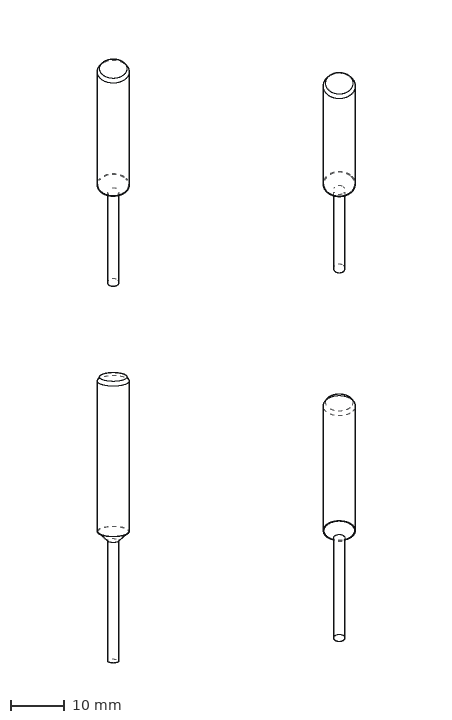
import cadquery as cq
import math

TOTAL_LENGTH = 56.0
SHANK_DIAMETER = 6.0
CUTTER_DIAMETER = 2.1
CUTTER_LENGTH = 23.95
NECK_STEP = 0.15

POINT_ANGLE = 140.0
NECK_HALF_ANGLE = 45.0
CHAMFER_WIDTH = 0.45
CHAMFER_HEIGHT = 0.8

shank_radius = SHANK_DIAMETER / 2
cutter_radius = CUTTER_DIAMETER / 2
point_height = cutter_radius / math.tan(math.radians(POINT_ANGLE / 2))
neck_radius = shank_radius - NECK_STEP
neck_height = (neck_radius - cutter_radius) / math.tan(math.radians(NECK_HALF_ANGLE))
shank_bottom = CUTTER_LENGTH + neck_height


def revolve_about_z(half_profile):
    """Revolve a closed (radius, height) outline about the Z axis."""
    return cq.Workplane("XZ").polyline(half_profile).close().revolve(360, (0, 0), (0, 1))


def make_cutter():
    """Slender cutting rod with a shallow conical point and a neck cone that widens up to the shank."""
    return revolve_about_z([
        (0, 0),
        (cutter_radius, point_height),
        (cutter_radius, CUTTER_LENGTH),
        (neck_radius, shank_bottom),
        (0, shank_bottom),
    ])


def make_shank():
    """Round shank with a chamfer on top; its flat bottom sits on the wide end of the neck."""
    return revolve_about_z([
        (0, shank_bottom),
        (shank_radius, shank_bottom),
        (shank_radius, TOTAL_LENGTH - CHAMFER_HEIGHT),
        (shank_radius - CHAMFER_WIDTH, TOTAL_LENGTH),
        (0, TOTAL_LENGTH),
    ])


cutter = make_cutter()
shank = make_shank()

result = cq.Compound.makeCompound([cutter.val(), shank.val()])